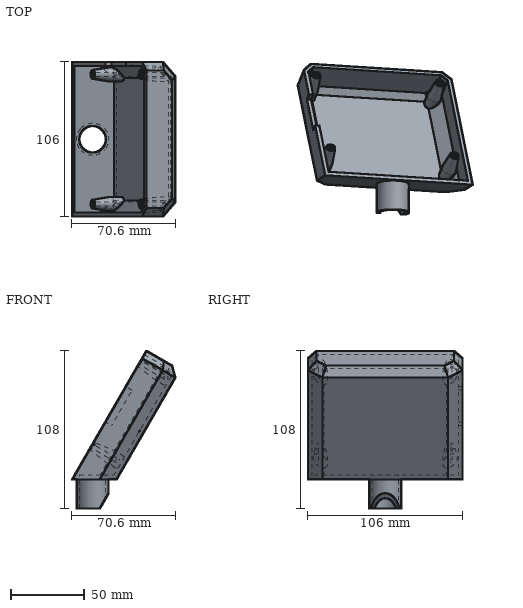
import cadquery as cq
import math


lean_angle = 30.0
case_length = 101.66
case_width = 106.0
case_depth = 26.34
wall = 3.0
corner_chamfer = 6.0
top_chamfer = 6.0
side_chamfer = 10.0

notch_start = 45.4
notch_length = 28.0
notch_depth = 5.0

post_half_spacing = 44.35
post_heights = (26.6, 92.4)
post_tip_depth = 1.0
post_cone_length = 14.0
post_tip_diameter = 6.0
post_base_diameter = 10.0
post_hole_diameter = 2.8

spigot_outer_diameter = 22.0
spigot_bore_diameter = 18.0
spigot_length = 20.0
spigot_center_x = 14.0

lean = math.radians(lean_angle)
back_foot_x = case_depth / math.cos(lean)


def leaned(shape):
    """Lean an upright shape back about the Y axis."""
    return shape.rotate((0, 0, 0), (0, 1, 0), lean_angle)


def cut_back_corner(block, side, inset):
    """Trim the upper back corner with a plane at 45 degrees to the Z axis."""
    bevel_plane = cq.Plane(
        origin=(case_depth - side_chamfer, side * case_width / 2, case_length - corner_chamfer),
        xDir=(1, -side, 0),
        normal=(1, side, math.sqrt(2)),
    )
    waste = (
        cq.Workplane(bevel_plane)
        .workplane(offset=-inset)
        .rect(case_width, case_width)
        .extrude(case_depth)
    )
    return block.cut(waste)


def case_block(inset):
    """Chamfered case volume with every closed face moved inward by inset."""
    leg_loss = inset * (2 - math.sqrt(2))
    depth = case_depth - inset
    top = case_length - inset
    half_width = case_width / 2 - inset
    corner_leg = corner_chamfer - leg_loss
    top_leg = top_chamfer - leg_loss
    side_leg = side_chamfer - leg_loss
    front_foot = inset / math.cos(lean)
    back_foot = front_foot + depth * math.tan(lean)

    side_profile = (
        cq.Workplane("XZ")
        .polyline([
            (0, front_foot),
            (0, top),
            (depth - top_leg, top),
            (depth, top - top_leg),
            (depth, back_foot),
        ])
        .close()
        .extrude(half_width, both=True)
    )
    face_outline = (
        cq.Workplane("YZ")
        .polyline([
            (-half_width, 0),
            (-half_width, top - corner_leg),
            (-half_width + corner_leg, top),
            (half_width - corner_leg, top),
            (half_width, top - corner_leg),
            (half_width, 0),
        ])
        .close()
        .extrude(depth)
    )
    plan_outline = (
        cq.Workplane("XY")
        .polyline([
            (0, -half_width),
            (depth - side_leg, -half_width),
            (depth, -half_width + side_leg),
            (depth, half_width - side_leg),
            (depth - side_leg, half_width),
            (0, half_width),
        ])
        .close()
        .extrude(top)
    )
    block = side_profile.intersect(face_outline).intersect(plan_outline)
    for side in (-1, 1):
        block = cut_back_corner(block, side, inset)
    return block


def notch():
    """Rectangular gap through the +Y wall, open at the rim."""
    gap = cq.Workplane("XY").box(notch_depth, wall, notch_length, centered=False)
    return gap.translate((0, case_width / 2 - wall, notch_start))


def post():
    """Tapered post with a cylindrical root reaching the back face and a blind screw hole."""
    tip_radius = post_tip_diameter / 2
    base_radius = post_base_diameter / 2
    hole_radius = post_hole_diameter / 2
    cone_end = post_tip_depth + post_cone_length
    hole_end = case_depth - wall
    return (
        cq.Workplane("XY")
        .polyline([
            (post_tip_depth, hole_radius),
            (post_tip_depth, tip_radius),
            (cone_end, base_radius),
            (case_depth, base_radius),
            (case_depth, 0),
            (hole_end, 0),
            (hole_end, hole_radius),
        ])
        .close()
        .revolve(360, (0, 0, 0), (1, 0, 0))
    )


def spigot():
    """Tube below the case, trimmed flush with the plane of the back face."""
    tube = (
        cq.Workplane("XY")
        .center(spigot_center_x, 0)
        .circle(spigot_outer_diameter / 2)
        .extrude(-spigot_length)
    )
    trim = (
        cq.Workplane("XZ")
        .polyline([
            (0, 0),
            (back_foot_x, 0),
            (back_foot_x - spigot_length * math.tan(lean), -spigot_length),
            (0, -spigot_length),
        ])
        .close()
        .extrude(spigot_outer_diameter, both=True)
    )
    return tube.intersect(trim)


def spigot_bore():
    """Straight hole through the spigot and the case floor."""
    return (
        cq.Workplane("XY")
        .workplane(offset=-spigot_length)
        .center(spigot_center_x, 0)
        .circle(spigot_bore_diameter / 2)
        .extrude(spigot_length + wall)
    )


outer = case_block(0)
case = outer.cut(case_block(wall)).cut(notch())
for side in (-1, 1):
    for height in post_heights:
        placed_post = post().translate((0, side * post_half_spacing, height))
        case = case.union(placed_post.intersect(outer))

result = leaned(case).union(spigot()).cut(spigot_bore())